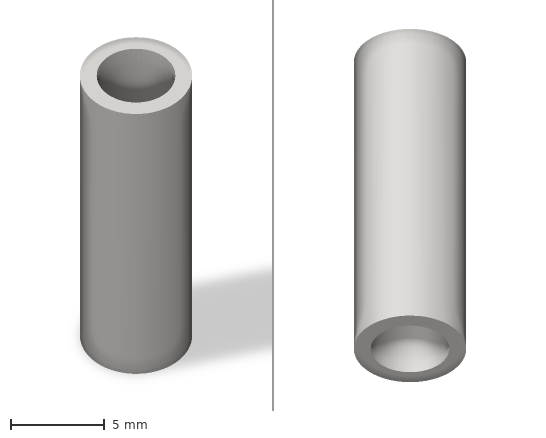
import cadquery as cq

length = 19.0
outer_diameter = 6.0
bore_diameter = 4.2

result = (
    cq.Workplane("XY")
    .circle(outer_diameter / 2)
    .circle(bore_diameter / 2)
    .extrude(length)
)